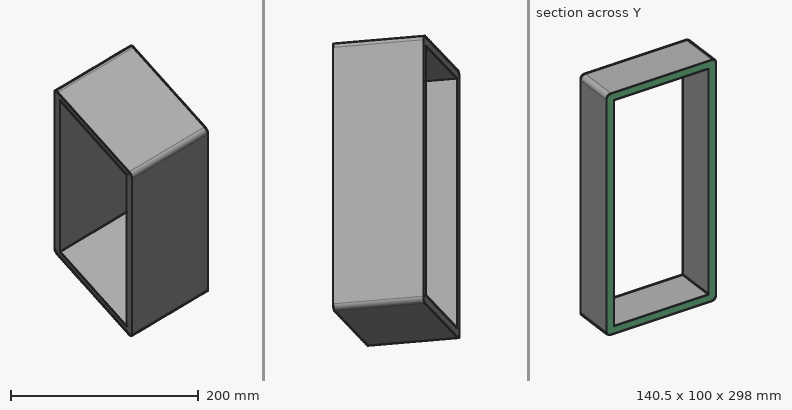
import cadquery as cq

width = 140.5
depth = 100.0
height = 298.0

wall = 10.0
corner_radius = 6.0


def make_outer_block():
    """Solid block with its four edges along Y rounded."""
    block = cq.Workplane("XY").box(width, depth, height)
    return block.edges("|Y").fillet(corner_radius)


def make_opening():
    """Sharp-cornered rectangular opening running the full depth."""
    opening_width = width - 2 * wall
    opening_height = height - 2 * wall
    return cq.Workplane("XY").box(opening_width, depth, opening_height)


result = make_outer_block().cut(make_opening())